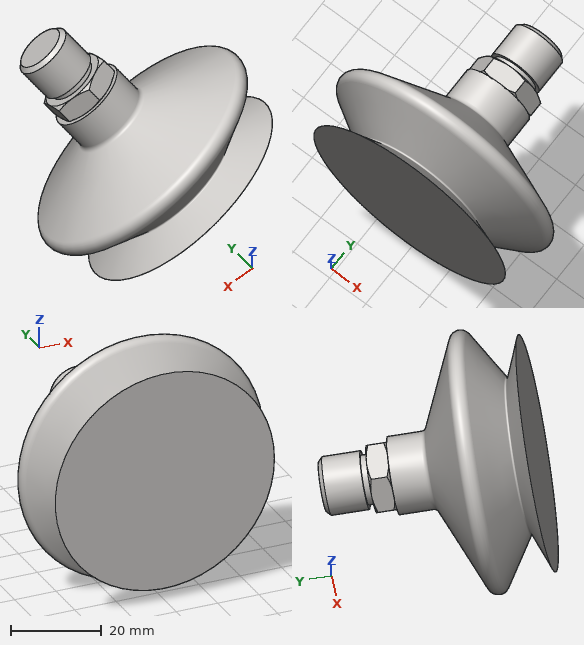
import cadquery as cq
import math


LIP_RADIUS = 26.5
WAIST_RADIUS = 17.6
WAIST_Y = 3.9
WAIST_BLEND_RADIUS = 0.3
BELLOWS_RADIUS = 29.5
BULGE_RADIUS = 2.2
BULGE_Y = 12.9
BULGE_CENTER_RADIUS = BELLOWS_RADIUS - BULGE_RADIUS

COLLAR_RADIUS = 17.5 / 2
COLLAR_BLEND_RADIUS = 1.25
COLLAR_BLEND_START_Y = 24.5
COLLAR_END_Y = 32.1

HEX_SIDES = 6
HEX_ACROSS_FLATS = 15.0
HEX_LENGTH = 4.9
HEX_END_Y = COLLAR_END_Y + HEX_LENGTH
HEX_CHAMFER_ANGLE = math.radians(30)

UNDERCUT_RADIUS = 11.16 / 2
UNDERCUT_LENGTH = 1.5
THREAD_RADIUS = 13.16 / 2
THREAD_START_Y = HEX_END_Y + UNDERCUT_LENGTH
THREAD_END_Y = 48.0
THREAD_CHAMFER = 1.0


def polar(center, radius, angle):
    """Point on a circle, at an angle measured from the outward radial direction."""
    return (center[0] + radius * math.cos(angle), center[1] + radius * math.sin(angle))


def crossing_tangent_angle(center, radius, other_center, other_radius, side):
    """Angle on a circle where a tangent that crosses over to the far side of another circle leaves it.

    The other circle may be a point of zero radius. The side is +1 or -1, for the tangent point
    counter-clockwise or clockwise of the line joining the centres.
    """
    dx = other_center[0] - center[0]
    dy = other_center[1] - center[1]
    offset = math.acos((radius + other_radius) / math.hypot(dx, dy))
    return math.atan2(dy, dx) + side * offset


def bellows_and_collar():
    """Solid of revolution from the sharp lip to the top of the collar."""
    lip = (LIP_RADIUS, 0)
    waist = (WAIST_RADIUS + WAIST_BLEND_RADIUS, WAIST_Y)
    bulge = (BULGE_CENTER_RADIUS, BULGE_Y)
    blend = (COLLAR_RADIUS + COLLAR_BLEND_RADIUS, COLLAR_BLEND_START_Y)

    lip_angle = crossing_tangent_angle(waist, WAIST_BLEND_RADIUS, lip, 0, -1)
    lower_angle = crossing_tangent_angle(bulge, BULGE_RADIUS, waist, WAIST_BLEND_RADIUS, 1)
    upper_angle = crossing_tangent_angle(bulge, BULGE_RADIUS, blend, COLLAR_BLEND_RADIUS, -1)

    waist_end_angle = lower_angle + math.pi
    blend_end_angle = upper_angle + math.pi
    blend_mid_angle = (blend_end_angle + math.pi) / 2

    return (
        cq.Workplane("XY")
        .moveTo(0, 0)
        .lineTo(*lip)
        .lineTo(*polar(waist, WAIST_BLEND_RADIUS, lip_angle))
        .threePointArc(
            polar(waist, WAIST_BLEND_RADIUS, math.pi),
            polar(waist, WAIST_BLEND_RADIUS, waist_end_angle),
        )
        .lineTo(*polar(bulge, BULGE_RADIUS, lower_angle))
        .threePointArc(
            polar(bulge, BULGE_RADIUS, 0),
            polar(bulge, BULGE_RADIUS, upper_angle),
        )
        .lineTo(*polar(blend, COLLAR_BLEND_RADIUS, blend_end_angle))
        .threePointArc(
            polar(blend, COLLAR_BLEND_RADIUS, blend_mid_angle),
            (COLLAR_RADIUS, COLLAR_BLEND_START_Y),
        )
        .lineTo(COLLAR_RADIUS, COLLAR_END_Y)
        .lineTo(0, COLLAR_END_Y)
        .close()
        .revolve(360, (0, 0, 0), (0, 1, 0))
    )


def hexagon():
    """Hexagon with two corners on X, its corners chamfered conically at both ends."""
    corner_radius = HEX_ACROSS_FLATS / 2 / math.cos(math.pi / HEX_SIDES)
    face_radius = HEX_ACROSS_FLATS / 2
    chamfer_depth = (corner_radius - face_radius) * math.tan(HEX_CHAMFER_ANGLE)
    prism = (
        cq.Workplane("XZ", origin=(0, COLLAR_END_Y, 0))
        .polygon(HEX_SIDES, 2 * corner_radius)
        .extrude(-HEX_LENGTH)
    )
    envelope = (
        cq.Workplane("XY")
        .moveTo(0, COLLAR_END_Y)
        .lineTo(face_radius, COLLAR_END_Y)
        .lineTo(corner_radius, COLLAR_END_Y + chamfer_depth)
        .lineTo(corner_radius, HEX_END_Y - chamfer_depth)
        .lineTo(face_radius, HEX_END_Y)
        .lineTo(0, HEX_END_Y)
        .close()
        .revolve(360, (0, 0, 0), (0, 1, 0))
    )
    return prism.intersect(envelope)


def threaded_end():
    """Plain undercut followed by the chamfered thread cylinder."""
    return (
        cq.Workplane("XY")
        .moveTo(0, HEX_END_Y)
        .lineTo(UNDERCUT_RADIUS, HEX_END_Y)
        .lineTo(UNDERCUT_RADIUS, THREAD_START_Y)
        .lineTo(THREAD_RADIUS, THREAD_START_Y)
        .lineTo(THREAD_RADIUS, THREAD_END_Y - THREAD_CHAMFER)
        .lineTo(THREAD_RADIUS - THREAD_CHAMFER, THREAD_END_Y)
        .lineTo(0, THREAD_END_Y)
        .close()
        .revolve(360, (0, 0, 0), (0, 1, 0))
    )


result = bellows_and_collar().union(hexagon()).union(threaded_end())